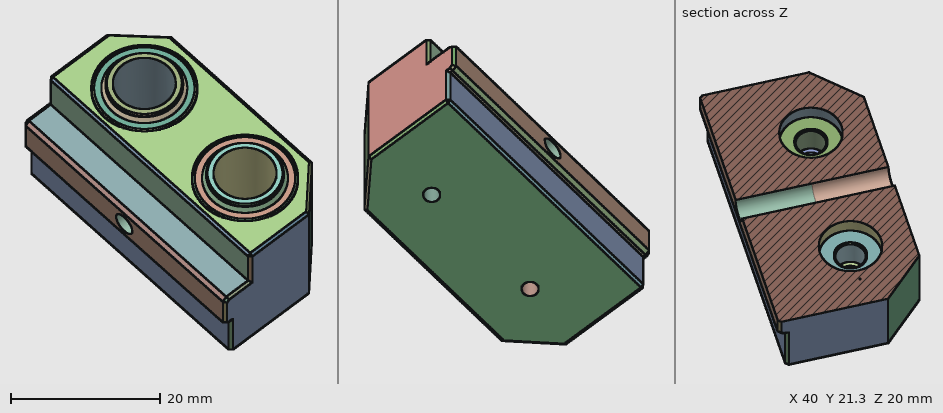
import cadquery as cq

LENGTH = 40
TOTAL_DEPTH = 21.25
TOTAL_HEIGHT = 20
BLOCK_HEIGHT = 18.9
UPPER_DEPTH = 16.7
LOWER_DEPTH = 20.2
LEDGE_TOP = 12.95
LEDGE_BOTTOM = 7.05
EDGE_CHAMFER = 0.4
LEDGE_CHAMFER = 0.6
CORNER_BEVEL = 6

PIN_HOLE_DIAMETER = 3.2
PIN_HOLE_HEIGHT = 10

SOCKET_SPACING = LENGTH / 2
SOCKET_FROM_BACK = 8.5
SEAT_DIAMETER = 14.25
FLANGE_DIAMETER = 14.1
FLANGE_TOP = BLOCK_HEIGHT
FLANGE_CHAMFER = 0.3
COLLAR_FOOT_DIAMETER = 11.5
COLLAR_NECK_DIAMETER = 10.3
COLLAR_NECK_HEIGHT = 19.45
COLLAR_LIP_DIAMETER = 10.45
COLLAR_LIP_HEIGHT = 19.7
COLLAR_TOP_DIAMETER = 10.05

BORE_DIAMETER = 8.45
BORE_FLOOR = 8
COUNTERBORE_DIAMETER = 4.1
COUNTERBORE_FLOOR = 4
COUNTERBORE_CHAMFER = 0.2
THROUGH_DIAMETER = 2.3
THROUGH_CHAMFER = 0.25

BACK_Y = TOTAL_DEPTH / 2
FRONT_Y = -BACK_Y
UPPER_FRONT_Y = BACK_Y - UPPER_DEPTH
LOWER_FRONT_Y = BACK_Y - LOWER_DEPTH
SOCKET_Y = BACK_Y - SOCKET_FROM_BACK


def make_block():
    """Stepped block with every outer edge chamfered."""
    profile = [
        (BACK_Y, 0),
        (BACK_Y, BLOCK_HEIGHT),
        (UPPER_FRONT_Y, BLOCK_HEIGHT),
        (UPPER_FRONT_Y, LEDGE_TOP),
        (FRONT_Y + LEDGE_CHAMFER, LEDGE_TOP),
        (FRONT_Y, LEDGE_TOP - LEDGE_CHAMFER),
        (FRONT_Y, LEDGE_BOTTOM + LEDGE_CHAMFER),
        (FRONT_Y + LEDGE_CHAMFER, LEDGE_BOTTOM),
        (LOWER_FRONT_Y, LEDGE_BOTTOM),
        (LOWER_FRONT_Y, 0),
    ]
    block = cq.Workplane("YZ").polyline(profile).close().extrude(LENGTH / 2, both=True)
    block = block.edges("|Z and >Y").chamfer(CORNER_BEVEL)
    end_edges = block.faces("<X or >X").edges("not (|Z and >Y)")
    rims = block.faces("<Z or >Z").edges()
    return block.newObject(end_edges.vals() + rims.vals()).chamfer(EDGE_CHAMFER)


def revolve_about_socket(outline):
    """Turn a (radius, height) outline about a vertical axis."""
    return cq.Workplane("XZ").polyline(outline).close().revolve(360, (0, 0), (0, 1))


def make_seat_groove():
    """Space above the chamfered socket flange and in the narrow groove around it."""
    outline = [
        (0, FLANGE_TOP),
        (FLANGE_DIAMETER / 2 - FLANGE_CHAMFER, FLANGE_TOP),
        (FLANGE_DIAMETER / 2, FLANGE_TOP - FLANGE_CHAMFER),
        (SEAT_DIAMETER / 2, FLANGE_TOP - FLANGE_CHAMFER),
        (SEAT_DIAMETER / 2, TOTAL_HEIGHT),
        (0, TOTAL_HEIGHT),
    ]
    return revolve_about_socket(outline)


def make_collar():
    """Conical foot narrowing to a neck below a thin lip."""
    outline = [
        (0, FLANGE_TOP),
        (COLLAR_FOOT_DIAMETER / 2, FLANGE_TOP),
        (COLLAR_NECK_DIAMETER / 2, COLLAR_NECK_HEIGHT),
        (COLLAR_LIP_DIAMETER / 2, COLLAR_LIP_HEIGHT),
        (COLLAR_TOP_DIAMETER / 2, TOTAL_HEIGHT),
        (0, TOTAL_HEIGHT),
    ]
    return revolve_about_socket(outline)


def make_bore():
    """Main bore, counterbore and through hole, the two lower mouths chamfered."""
    bore_radius = BORE_DIAMETER / 2
    counterbore_radius = COUNTERBORE_DIAMETER / 2
    through_radius = THROUGH_DIAMETER / 2
    outline = [
        (0, 0),
        (through_radius, 0),
        (through_radius, COUNTERBORE_FLOOR - THROUGH_CHAMFER),
        (through_radius + THROUGH_CHAMFER, COUNTERBORE_FLOOR),
        (counterbore_radius, COUNTERBORE_FLOOR),
        (counterbore_radius, BORE_FLOOR - COUNTERBORE_CHAMFER),
        (counterbore_radius + COUNTERBORE_CHAMFER, BORE_FLOOR),
        (bore_radius, BORE_FLOOR),
        (bore_radius, TOTAL_HEIGHT),
        (0, TOTAL_HEIGHT),
    ]
    return revolve_about_socket(outline)


def make_pin_hole():
    """Horizontal hole from front to back, midway between the sockets."""
    return (
        cq.Workplane("XZ")
        .center(0, PIN_HOLE_HEIGHT)
        .circle(PIN_HOLE_DIAMETER / 2)
        .extrude(TOTAL_DEPTH / 2, both=True)
    )


result = make_block().cut(make_pin_hole())
for side in (-1, 1):
    place = cq.Vector(side * SOCKET_SPACING / 2, SOCKET_Y, 0)
    result = result.cut(make_seat_groove().translate(place))
    result = result.union(make_collar().translate(place))
    result = result.cut(make_bore().translate(place))